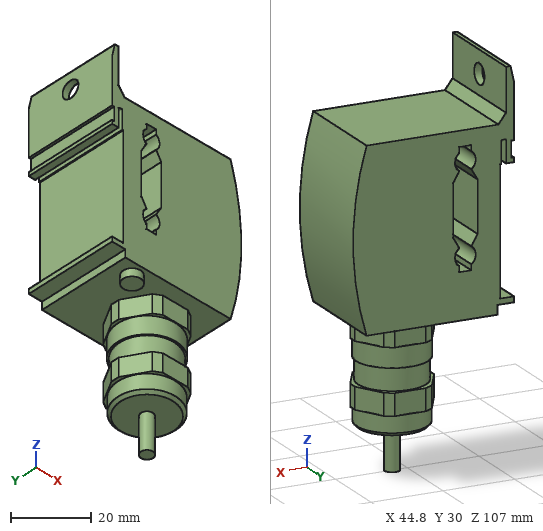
import cadquery as cq
import math

width = 30.0
body_height = 50.1
body_back = 3.9
body_edge_front = 41.1
body_front = 44.8
mid_height = body_height / 2

tab_top = 65.0
tab_thickness = 2.2
tip_inset = 1.0
tip_height = 4.3
brace_length = 2.1
brace_height = 2.8
tab_hole_diameter = 5.7
tab_hole_drop = 6.4

hook_bottom = 39.5
hook_lip_top = 40.8
hook_recess_top = 45.3
hook_recess_depth = 0.7
hook_gap_top = 45.9
hook_gap_back = 3.5
hook_gap_corner = 0.3

ledge_bottom = 2.6
ledge_top = 4.2
bottom_step = 4.6

window_x = 13.6
window_z = 29.3
window_length = 33.0
window_neck_width = 3.3
window_wide_half = 3.4
window_straight_half = 7.2
window_taper_half = 10.2
window_lobe_radius = 2.9
window_lobe_offset = 12.5

gland_x = 26.5
nut_across_flats = 20.4
nut_across_cut_corners = 22.0
nut_height = 6.1
collar_radius = 10.1
collar_height = 5.8
sleeve_radius = 9.5
sleeve_height = 6.2
cap_radius = 10.0
cap_height = 5.8
cap_chamfer = 1.0
cable_radius = 2.0
cable_bottom = -42.0

pin_x = 10.9
pin_y = -10.8
pin_radius = 3.0
pin_height = 2.6


def make_housing():
    """Extrude the side outline, with tab, hook, ledge and bowed front."""
    outline = (
        cq.Workplane("XZ")
        .moveTo(bottom_step, 0)
        .lineTo(body_edge_front, 0)
        .threePointArc((body_front, mid_height), (body_edge_front, body_height))
        .lineTo(tab_thickness + brace_length, body_height)
        .lineTo(tab_thickness, body_height + brace_height)
        .lineTo(tab_thickness, tab_top)
        .lineTo(tip_inset, tab_top)
        .lineTo(0, tab_top - tip_height)
        .lineTo(0, hook_recess_top)
        .lineTo(hook_recess_depth, hook_recess_top)
        .lineTo(hook_recess_depth, hook_lip_top)
        .lineTo(0, hook_lip_top)
        .lineTo(0, hook_bottom)
        .lineTo(tab_thickness, hook_bottom)
        .lineTo(tab_thickness, hook_gap_top - hook_gap_corner)
        .radiusArc((tab_thickness + hook_gap_corner, hook_gap_top), hook_gap_corner)
        .lineTo(hook_gap_back - hook_gap_corner, hook_gap_top)
        .radiusArc((hook_gap_back, hook_gap_top - hook_gap_corner), hook_gap_corner)
        .lineTo(hook_gap_back, hook_bottom)
        .lineTo(body_back, hook_bottom)
        .lineTo(body_back, ledge_top)
        .lineTo(0, ledge_top)
        .lineTo(0, ledge_bottom)
        .lineTo(bottom_step, ledge_bottom)
        .close()
    )
    return outline.extrude(width / 2, both=True)


def make_window():
    """Cutter: a narrow slot, a tapered wide middle and a round lobe at each end."""
    plane = cq.Workplane("XZ", origin=(window_x, 0, window_z))
    neck_half = window_neck_width / 2
    slot = plane.rect(window_neck_width, window_length).extrude(width, both=True)
    middle = (
        plane.polyline([
            (-neck_half, -window_taper_half),
            (neck_half, -window_taper_half),
            (window_wide_half, -window_straight_half),
            (window_wide_half, window_straight_half),
            (neck_half, window_taper_half),
            (-neck_half, window_taper_half),
            (-window_wide_half, window_straight_half),
            (-window_wide_half, -window_straight_half),
        ])
        .close()
        .extrude(width, both=True)
    )
    lobes = (
        plane.pushPoints([(0, window_lobe_offset), (0, -window_lobe_offset)])
        .circle(window_lobe_radius)
        .extrude(width, both=True)
    )
    return slot.union(middle).union(lobes)


def make_tab_hole():
    """Cutter for the screw hole through the tab."""
    return (
        cq.Workplane("YZ", origin=(0, 0, tab_top - tab_hole_drop))
        .circle(tab_hole_diameter / 2)
        .extrude(tab_thickness)
    )


def cylinder_down(x, y, top, radius, height):
    return cq.Workplane("XY", origin=(x, y, top)).circle(radius).extrude(-height)


def make_nut(top):
    """Hexagon with flats facing +Y and -Y, its corners cut by a second hexagon."""
    plane = cq.Workplane("XY", origin=(gland_x, 0, top))
    corner_scale = 1 / math.cos(math.pi / 6)
    hexagon = plane.polygon(6, nut_across_flats * corner_scale).extrude(-nut_height)
    corner_cut = (
        plane.transformed(rotate=(0, 0, 30))
        .polygon(6, nut_across_cut_corners * corner_scale)
        .extrude(-nut_height)
    )
    return hexagon.intersect(corner_cut)


def make_gland():
    """Stack nut, collar, sleeve, nut, cap and cable downward from the housing."""
    collar_top = -nut_height
    sleeve_top = collar_top - collar_height
    lower_nut_top = sleeve_top - sleeve_height
    cap_top = lower_nut_top - nut_height
    cap_bottom = cap_top - cap_height
    cap = cylinder_down(gland_x, 0, cap_top, cap_radius, cap_height)
    cap = cap.faces("<Z").chamfer(cap_chamfer)
    return (
        make_nut(0)
        .union(cylinder_down(gland_x, 0, collar_top, collar_radius, collar_height))
        .union(cylinder_down(gland_x, 0, sleeve_top, sleeve_radius, sleeve_height))
        .union(make_nut(lower_nut_top))
        .union(cap)
        .union(cylinder_down(gland_x, 0, cap_bottom, cable_radius, cap_bottom - cable_bottom))
    )


housing = make_housing().cut(make_window()).cut(make_tab_hole())
pin = cylinder_down(pin_x, pin_y, 0, pin_radius, pin_height)
result = housing.union(make_gland()).union(pin)